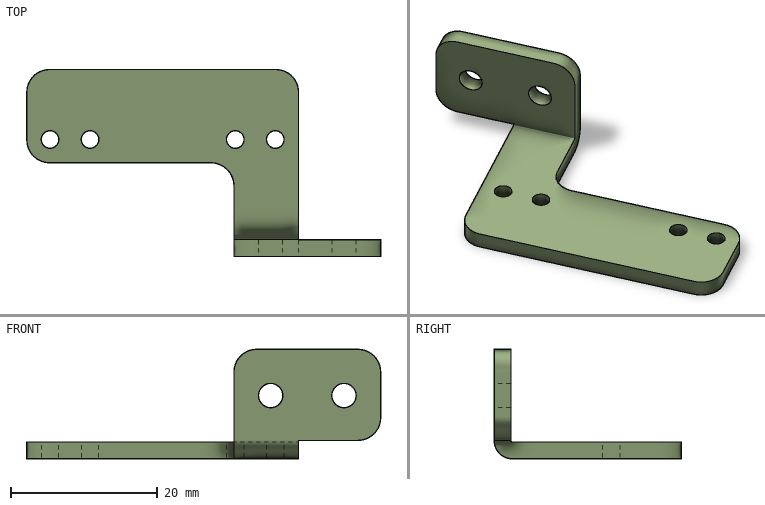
import cadquery as cq
import math

total_length = 48.4
total_depth = 25.6
total_height = 15.0
thickness = 2.3
bend_inner_radius = 0.2
bend_outer_radius = bend_inner_radius + thickness
corner_radius = 3.15

plate_length = 37.15
plate_width = 12.77
arm_left = 28.3
arm_width = plate_length - arm_left
plate_front = total_depth - plate_width

base_hole_diameter = 2.35
base_hole_edge = 3.2
base_hole_setback = 9.6
base_hole_y = total_depth - base_hole_setback
base_hole_pitch = 5.45
base_pair_distance = 25.3

flange_length = total_length - arm_left
flange_bottom = bend_outer_radius
flange_height = total_height - flange_bottom
flange_hole_diameter = 3.3
flange_hole_pitch = 10.0
flange_hole_drop = 6.35


def make_base():
    plate = cq.Workplane().box(plate_length, plate_width, thickness, centered=False)
    plate = plate.translate((0, plate_front, 0))
    arm_length = plate_front - bend_outer_radius
    arm = cq.Workplane().box(arm_width, arm_length, thickness, centered=False)
    base = plate.union(arm.translate((arm_left, bend_outer_radius, 0)))
    rounded_zone = cq.selectors.BoxSelector(
        (-0.5, plate_front - 0.5, -0.5), (plate_length + 0.5, total_depth + 0.5, thickness + 0.5)
    )
    return base.edges("|Z").edges(rounded_zone).fillet(corner_radius)


def make_bend():
    """Quarter-ring section joining the arm to the flange."""
    cos_45 = math.sqrt(0.5)
    outer_mid = bend_outer_radius * (1 - cos_45)
    inner_mid = bend_outer_radius - bend_inner_radius * cos_45
    return (
        cq.Workplane("YZ", origin=(arm_left, 0, 0))
        .moveTo(0, bend_outer_radius)
        .threePointArc((outer_mid, outer_mid), (bend_outer_radius, 0))
        .lineTo(bend_outer_radius, thickness)
        .threePointArc((inner_mid, inner_mid), (thickness, bend_outer_radius))
        .close()
        .extrude(arm_width)
    )


def make_flange():
    flange = cq.Workplane().box(flange_length, thickness, flange_height, centered=False)
    flange = flange.edges("|Y and (>X or >Z)").fillet(corner_radius)
    return flange.translate((arm_left, 0, flange_bottom))


def hole_cutter(diameter):
    """Cylinder along +Z that passes through one sheet thickness."""
    return cq.Workplane().circle(diameter / 2).extrude(thickness)


result = make_base().union(make_bend()).union(make_flange())

base_cutter = hole_cutter(base_hole_diameter)
for pair_x in (base_hole_edge, base_hole_edge + base_pair_distance):
    for hole_x in (pair_x, pair_x + base_hole_pitch):
        result = result.cut(base_cutter.translate((hole_x, base_hole_y, 0)))

flange_cutter = hole_cutter(flange_hole_diameter)
flange_cutter = flange_cutter.rotate((0, 0, 0), (1, 0, 0), -90)
flange_middle = arm_left + flange_length / 2
flange_hole_z = total_height - flange_hole_drop
for side in (-1, 1):
    hole_x = flange_middle + side * flange_hole_pitch / 2
    result = result.cut(flange_cutter.translate((hole_x, 0, flange_hole_z)))